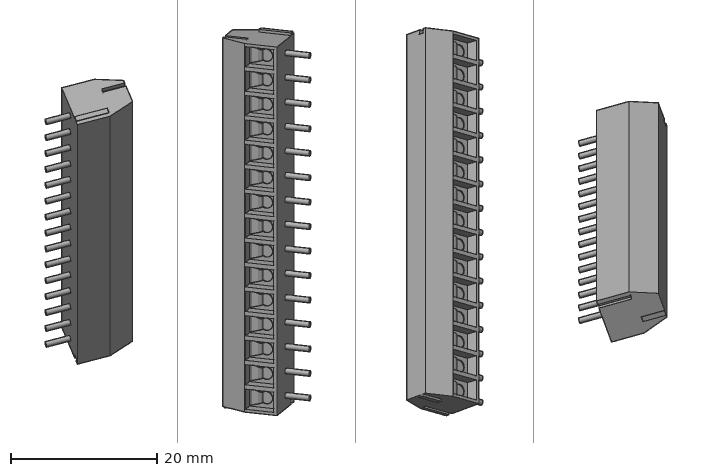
import cadquery as cq

overall_length = 53.45

positions = 15
first_to_last = 49.0
pitch = first_to_last / (positions - 1)
body_width = 6.8
body_depth = 8.45
body_length = 52.75
shoulder_y = 4.7
back_inset = 1.45

pin_radius = 0.4
pin_length = 3.5
pin_offset = 0.15
pin_x = body_width / 2 + pin_offset

pocket_depth = 1.6
pocket_height = 2.9
pocket_front_y = 0.5
pocket_back_y = 4.6
pocket_front_draft = 0.2

seat_diameter = 1.75
seat_y = 2.15
seat_depth = 0.15

leaf_root_y = 4.55
leaf_tip_y = 2.65
leaf_root_half_height = 1.3
leaf_tip_half_height = 0.75
leaf_rise = 0.4

dovetail_width = 0.6
dovetail_flare = 0.2
front_dovetail_x = 5.6
back_dovetail_x = 1.9
back_dovetail_length = 3.3
top_rail_height = 0.4
bottom_rail_height = overall_length - body_length - top_rail_height
groove_depth = 0.65

position_heights = [i * pitch - first_to_last / 2 for i in range(positions)]
top_z = body_length / 2
bottom_z = -top_z


def make_body():
    """Prism with two vertical sides that taper in towards the back."""
    outline = [
        (0, 0),
        (body_width, 0),
        (body_width, shoulder_y),
        (body_width - back_inset, body_depth),
        (back_inset, body_depth),
        (0, shoulder_y),
    ]
    return cq.Workplane("XY").workplane(offset=bottom_z).polyline(outline).close().extrude(body_length)


def make_pin(z):
    """Round pin standing out of the front face."""
    return cq.Workplane("XZ").center(pin_x, z).circle(pin_radius).extrude(pin_length)


def make_pocket(z):
    """Wire entry pocket, drafted on its front wall."""
    outline = [
        (0, pocket_front_y),
        (pocket_depth, pocket_front_y + pocket_front_draft),
        (pocket_depth, pocket_back_y),
        (0, pocket_back_y),
    ]
    base = cq.Workplane("XY").workplane(offset=z - pocket_height / 2)
    return base.polyline(outline).close().extrude(pocket_height)


def make_wire_seat(z):
    """Shallow round seat in the pocket floor."""
    base = cq.Workplane("YZ").workplane(offset=pocket_depth)
    return base.center(seat_y, z).circle(seat_diameter / 2).extrude(seat_depth)


def make_leaf(z):
    """Leaf that narrows over the wire seat, with both ends fully rounded.

    Half its thickness stands above the pocket floor.
    """
    outline = [
        (leaf_root_y, z - leaf_root_half_height),
        (leaf_root_y, z + leaf_root_half_height),
        (leaf_tip_y, z + leaf_tip_half_height),
        (leaf_tip_y, z - leaf_tip_half_height),
    ]
    plan = cq.Workplane("YZ").workplane(offset=pocket_depth - leaf_rise)
    plate = plan.polyline(outline).close().extrude(2 * leaf_rise)
    length = leaf_root_y - leaf_tip_y
    middle = (pocket_depth, (leaf_root_y + leaf_tip_y) / 2)
    side = cq.Workplane("XY").workplane(offset=z - pocket_height / 2).center(*middle)
    rounded_bar = side.slot2D(length, 2 * leaf_rise, angle=90).extrude(pocket_height)
    return plate.intersect(rounded_bar)


def make_dovetail(x, root_z, tip_z, start_y, end_y):
    """Half dovetail bar along Y whose +X flank flares from the root to the tip."""
    outline = [
        (x, root_z),
        (x + dovetail_width, root_z),
        (x + dovetail_width + dovetail_flare, tip_z),
        (x, tip_z),
    ]
    base = cq.Workplane("XZ").workplane(offset=-end_y)
    return base.polyline(outline).close().extrude(end_y - start_y)


result = make_body()

for height in position_heights:
    result = result.cut(make_pocket(height)).cut(make_wire_seat(height))
    result = result.union(make_leaf(height)).union(make_pin(height))

front_span = (0, shoulder_y)
result = result.union(make_dovetail(front_dovetail_x, top_z, top_z + top_rail_height, *front_span))
result = result.cut(make_dovetail(front_dovetail_x, bottom_z, bottom_z + groove_depth, *front_span))

back_span = (body_depth - back_dovetail_length, body_depth)
result = result.cut(make_dovetail(back_dovetail_x, top_z, top_z - groove_depth, *back_span))
result = result.union(make_dovetail(back_dovetail_x, bottom_z, bottom_z - bottom_rail_height, *back_span))